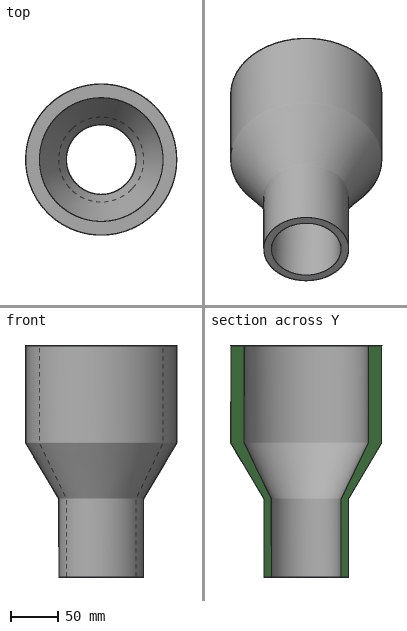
import cadquery as cq

total_height = 245.0
wide_diameter = 160.0
wide_bore = 130.8
narrow_diameter = 90.0
narrow_bore = 73.5
narrow_length = 83.0
wide_length = 103.0
bend_radius = 2.0

cone_bottom = narrow_length
cone_top = total_height - wide_length


def stepped_cone(narrow_radius, wide_radius):
    """Solid of revolution: narrow cylinder, cone, then wide cylinder, with rounded bends."""
    profile = (
        cq.Workplane("XZ")
        .lineTo(narrow_radius, 0)
        .lineTo(narrow_radius, cone_bottom)
        .lineTo(wide_radius, cone_top)
        .lineTo(wide_radius, total_height)
        .lineTo(0, total_height)
        .close()
    )
    solid = profile.revolve(360, (0, 0, 0), (0, 1, 0))
    bend_edges = solid.edges("%CIRCLE").edges("not(<Z or >Z)")
    return bend_edges.fillet(bend_radius)


outer_body = stepped_cone(narrow_diameter / 2, wide_diameter / 2)
bore = stepped_cone(narrow_bore / 2, wide_bore / 2)

result = outer_body.cut(bore)